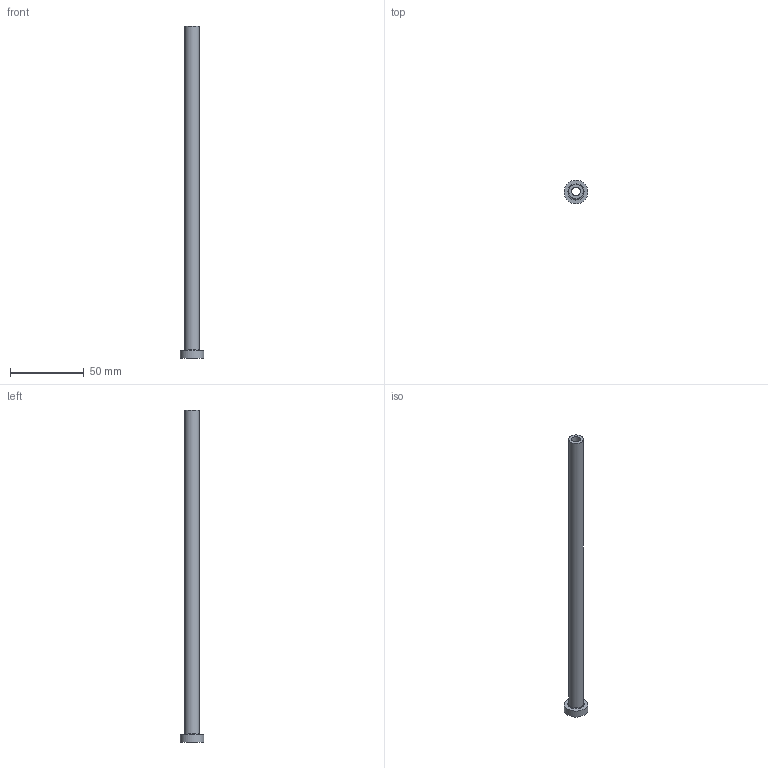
import cadquery as cq

TOTAL_LENGTH = 225.0
HEAD_DIAMETER = 16.0
HEAD_HEIGHT = 5.0
SHANK_DIAMETER = 10.0
BORE_DIAMETER = 6.0
NECK_FILLET_RADIUS = 0.5

HEAD_RADIUS = HEAD_DIAMETER / 2
SHANK_RADIUS = SHANK_DIAMETER / 2
BORE_RADIUS = BORE_DIAMETER / 2


def make_wall_section():
    """Half section of the sleeve wall in the XZ plane, with the head base at Z = 0."""
    fillet_start = (SHANK_RADIUS + NECK_FILLET_RADIUS, HEAD_HEIGHT)
    fillet_end = (SHANK_RADIUS, HEAD_HEIGHT + NECK_FILLET_RADIUS)
    return (
        cq.Workplane("XZ")
        .moveTo(BORE_RADIUS, 0)
        .lineTo(HEAD_RADIUS, 0)
        .lineTo(HEAD_RADIUS, HEAD_HEIGHT)
        .lineTo(*fillet_start)
        .radiusArc(fillet_end, NECK_FILLET_RADIUS)
        .lineTo(SHANK_RADIUS, TOTAL_LENGTH)
        .lineTo(BORE_RADIUS, TOTAL_LENGTH)
        .close()
    )


def make_sleeve():
    """Revolve the wall section about the Z axis, leaving the bore open at both ends."""
    axis_start = (0, 0, 0)
    axis_end = (0, 1, 0)
    return make_wall_section().revolve(360, axis_start, axis_end)


result = make_sleeve()